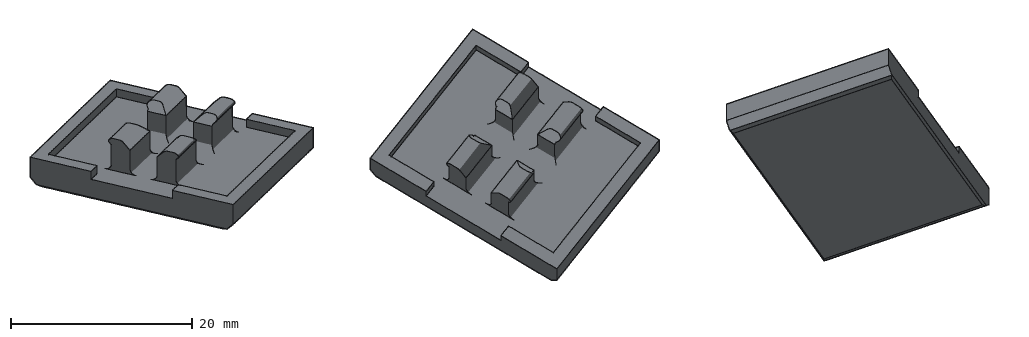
import cadquery as cq
import math

plate_length = 25.0
plate_width = 20.0
rim_height = 3.5
side_chamfer = 1.0
bottom_edge_chamfer = 0.25

recess_depth = 1.0
rim_thickness = 1.5
side_opening_length = 10.0
floor_height = rim_height - recess_depth

total_height = 6.5
post_inner_x = 1.68
post_outer_x = 3.98
post_inner_y = 2.0
post_outer_y = 7.05
post_chamfer = 1.0
top_fillet_radius = 0.83

lip_overhang = 0.25
lip_nose_radius = 0.24

foot_radius = 0.75


def make_plate():
    plate = cq.Workplane("XY").box(plate_length, plate_width, rim_height, centered=(True, True, False))
    plate = plate.edges("<Z and |Y").chamfer(side_chamfer)
    plate = plate.faces("<Z").edges().chamfer(bottom_edge_chamfer)
    pocket = (
        cq.Workplane("XY", origin=(0, 0, floor_height))
        .rect(plate_length - 2 * rim_thickness, plate_width - 2 * rim_thickness)
        .extrude(recess_depth)
    )
    side_openings = (
        cq.Workplane("XY", origin=(0, 0, floor_height))
        .rect(side_opening_length, plate_width)
        .extrude(recess_depth)
    )
    return plate.cut(pocket).cut(side_openings)


def make_post_body():
    """Post in the +X +Y quadrant: an XZ profile with its hook facing +X, run along Y."""
    slope_angle = math.radians(45)
    half_turn = slope_angle / 2
    diagonal = math.cos(slope_angle)
    fillet_run = top_fillet_radius * diagonal
    fillet_drop = top_fillet_radius * (1 - diagonal)
    middle_run = top_fillet_radius * math.sin(half_turn)
    middle_z = total_height - top_fillet_radius * (1 - math.cos(half_turn))
    fillet_end_z = total_height - fillet_drop

    inner_fillet_x = post_inner_x + post_chamfer - fillet_drop
    flat_start_x = inner_fillet_x + fillet_run

    lip_x = post_outer_x + lip_overhang
    flat_end_x = lip_x - fillet_run
    nose_half_height = lip_nose_radius * diagonal
    nose_tip_x = lip_x + lip_nose_radius * (1 - diagonal)
    nose_bottom_z = fillet_end_z - 2 * nose_half_height
    body = (
        cq.Workplane("XZ", origin=(0, post_outer_y, 0))
        .moveTo(post_inner_x, floor_height)
        .lineTo(post_inner_x, total_height - post_chamfer)
        .lineTo(inner_fillet_x, fillet_end_z)
        .threePointArc((flat_start_x - middle_run, middle_z), (flat_start_x, total_height))
        .lineTo(flat_end_x, total_height)
        .threePointArc((flat_end_x + middle_run, middle_z), (lip_x, fillet_end_z))
        .threePointArc((nose_tip_x, fillet_end_z - nose_half_height), (lip_x, nose_bottom_z))
        .lineTo(post_outer_x, nose_bottom_z - lip_overhang)
        .lineTo(post_outer_x, floor_height)
        .close()
        .extrude(post_outer_y - post_inner_y)
    )
    end_chamfer = (
        cq.Workplane("YZ")
        .moveTo(post_inner_y, total_height - post_chamfer)
        .lineTo(post_inner_y, total_height)
        .lineTo(post_inner_y + post_chamfer, total_height)
        .close()
        .extrude(nose_tip_x)
    )
    return body.cut(end_chamfer)


def make_flare(plane, origin, wall, direction, length):
    """Concave quarter-round strip rising from the floor to a wall, flaring out along direction."""
    arc_depth = foot_radius * (1 - math.sqrt(0.5))
    return (
        cq.Workplane(plane, origin=origin)
        .moveTo(wall, floor_height)
        .lineTo(wall + direction * foot_radius, floor_height)
        .threePointArc(
            (wall + direction * arc_depth, floor_height + arc_depth),
            (wall, floor_height + foot_radius),
        )
        .close()
        .extrude(length)
    )


def make_foot():
    """Flares on three walls of the post, mitred at the corners; the outer end stays flat."""
    start_y = post_inner_y - foot_radius
    start_x = post_inner_x - foot_radius
    end_x = post_outer_x + foot_radius
    run_y = post_outer_y - start_y
    inner = make_flare("XZ", (0, post_outer_y, 0), post_inner_x, -1, run_y)
    outer = make_flare("XZ", (0, post_outer_y, 0), post_outer_x, 1, run_y)
    end = make_flare("YZ", (start_x, 0, 0), post_inner_y, -1, end_x - start_x)
    end_zone = (
        cq.Workplane("XY", origin=(0, 0, floor_height))
        .polyline([
            (start_x, start_y),
            (end_x, start_y),
            (post_outer_x, post_inner_y),
            (post_inner_x, post_inner_y),
        ])
        .close()
        .extrude(foot_radius)
    )
    return inner.cut(end_zone).union(outer.cut(end_zone)).union(end.intersect(end_zone))


def make_posts():
    post = make_post_body().union(make_foot())
    pair = post.union(post.mirror("YZ"))
    return pair.union(pair.mirror("XZ"))


result = make_plate().union(make_posts())